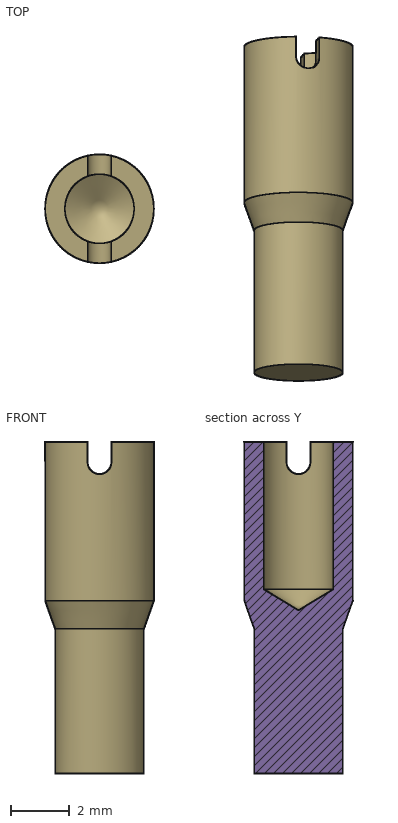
import cadquery as cq
import math

total_height = 11.26
head_diameter = 3.7
shank_diameter = 3.02

shank_height = 4.91
shoulder_height = 0.96

bore_diameter = 2.35
bore_depth = 5.0
drill_point_angle = 118.0

slot_width = 0.8
slot_depth = 1.09


def make_body():
    """Shank, conical shoulder and head as one revolved profile."""
    head_radius = head_diameter / 2
    shank_radius = shank_diameter / 2
    return (
        cq.Workplane("XZ")
        .lineTo(shank_radius, 0)
        .lineTo(shank_radius, shank_height)
        .lineTo(head_radius, shank_height + shoulder_height)
        .lineTo(head_radius, total_height)
        .lineTo(0, total_height)
        .close()
        .revolve(360, (0, 0, 0), (0, 1, 0))
    )


def make_bore():
    """Cylindrical hole from the top face with a conical bottom."""
    bore_radius = bore_diameter / 2
    bore_floor = total_height - bore_depth
    point_length = bore_radius / math.tan(math.radians(drill_point_angle / 2))
    return (
        cq.Workplane("XZ")
        .moveTo(0, bore_floor - point_length)
        .lineTo(bore_radius, bore_floor)
        .lineTo(bore_radius, total_height)
        .lineTo(0, total_height)
        .close()
        .revolve(360, (0, 0, 0), (0, 1, 0))
    )


def make_slot():
    """Slot through both walls of the head, with a half-round floor."""
    half_width = slot_width / 2
    slot_bottom = total_height - slot_depth
    arc_start = slot_bottom + half_width
    return (
        cq.Workplane("XZ")
        .moveTo(-half_width, total_height)
        .lineTo(-half_width, arc_start)
        .threePointArc((0, slot_bottom), (half_width, arc_start))
        .lineTo(half_width, total_height)
        .close()
        .extrude(head_diameter / 2, both=True)
    )


result = make_body().cut(make_bore()).cut(make_slot())